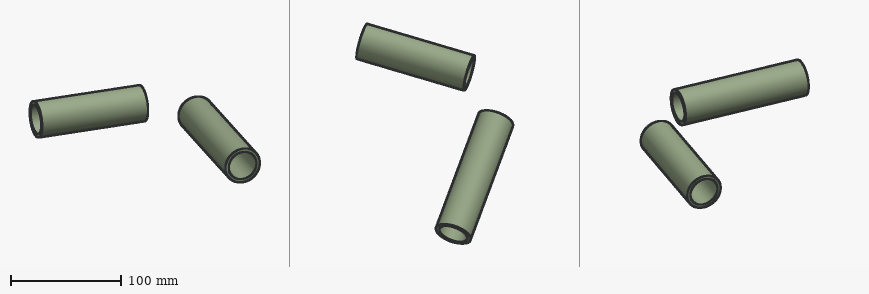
import cadquery as cq

overall_x = 176.7
overall_y = 156.7
outer_diameter = 33.4
inner_diameter = 26.7
corner_gap = 21.2

outer_radius = outer_diameter / 2
inner_radius = inner_diameter / 2
end_offset = outer_radius + corner_gap
long_length = overall_x - outer_diameter - corner_gap
short_length = overall_y - outer_diameter - corner_gap


def make_tube(plane, length):
    """Open round tube along the plane's normal, starting end_offset away from the origin."""
    return (
        cq.Workplane(plane)
        .workplane(offset=end_offset)
        .circle(outer_radius)
        .circle(inner_radius)
        .extrude(length)
    )


long_tube = make_tube("YZ", long_length)

short_tube = make_tube("XZ", short_length)

result = cq.Compound.makeCompound([long_tube.val(), short_tube.val()])